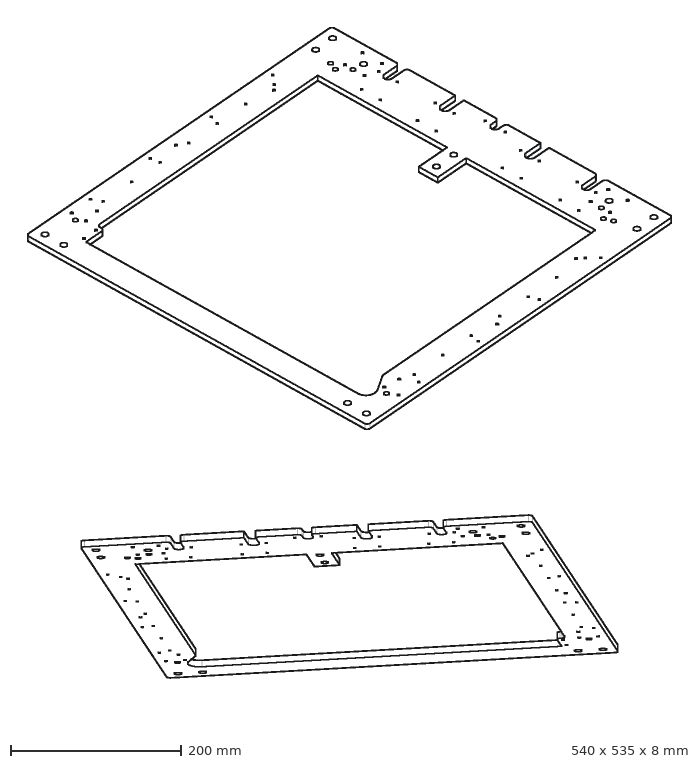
import cadquery as cq
import math

length_x = 540.0
length_y = 535.0
thickness = 8.0
corner_radius = 4.5

right = length_x / 2
top = length_y / 2
bottom = -top

side_rail = 50.0
top_rail = 80.0
bottom_rail = 37.0
window_right = right - side_rail
window_left = -window_right
window_top = top - top_rail
window_bottom = bottom + bottom_rail

tab_width = 30.0
tab_length = 49.5

foot_width = 11.0
foot_top = window_bottom + 32.0
foot_radius = 4.5

relief_radius = 14.0
relief_x = 221.5
relief_y = window_bottom + relief_radius
flank_angle = math.radians(30)

notch_lip_radius = 5.0
narrow_notch = 12.0
wide_notch = 13.5
deep_notch = 32.0
shallow_notch = 18.5
outer_notch_x = 157.0
inner_notch_x = 67.5

tap_diameter = 2.4
screw_diameter = 3.0
motor_screw_diameter = 3.2
pulley_diameter = 6.5
bolt_diameter = 8.5


def window():
    """Cutter for the frame opening, leaving the tab and the foot in place."""
    flank_x = relief_x + relief_radius * math.cos(flank_angle)
    flank_y = relief_y + relief_radius * math.sin(flank_angle)
    flank_top = flank_y + (flank_x - window_right) / math.tan(flank_angle)
    arc_middle_angle = (flank_angle - math.pi / 2) / 2
    foot_right = window_left + foot_width
    tab_bottom = window_top - tab_length
    opening = (
        cq.Workplane("XY")
        .moveTo(foot_right, window_bottom)
        .lineTo(relief_x, window_bottom)
        .threePointArc(
            (
                relief_x + relief_radius * math.cos(arc_middle_angle),
                relief_y + relief_radius * math.sin(arc_middle_angle),
            ),
            (flank_x, flank_y),
        )
        .lineTo(window_right, flank_top)
        .lineTo(window_right, window_top)
        .lineTo(tab_width / 2, window_top)
        .lineTo(tab_width / 2, tab_bottom)
        .lineTo(-tab_width / 2, tab_bottom)
        .lineTo(-tab_width / 2, window_top)
        .lineTo(window_left, window_top)
        .lineTo(window_left, foot_top + foot_radius)
        .radiusArc((window_left + foot_radius, foot_top), -foot_radius)
        .lineTo(foot_right - foot_radius, foot_top)
        .radiusArc((foot_right, foot_top - foot_radius), foot_radius)
        .close()
    )
    return opening.extrude(thickness)


def notch(x, width, depth, lip_radius=0.0):
    """Cutter for a round-ended notch in the top edge, with optional rounded lips."""
    half = width / 2
    arc_y = top - depth + half
    outline = cq.Workplane("XY").moveTo(x - half - lip_radius, top)
    if lip_radius:
        outline = outline.radiusArc((x - half, top - lip_radius), lip_radius)
    outline = outline.lineTo(x - half, arc_y)
    outline = outline.threePointArc((x, top - depth), (x + half, arc_y))
    outline = outline.lineTo(x + half, top - lip_radius)
    if lip_radius:
        outline = outline.radiusArc((x + half + lip_radius, top), lip_radius)
    return outline.close().extrude(thickness)


def holes(diameter, points):
    """Cutter for through holes of one diameter."""
    return cq.Workplane("XY").pushPoints(points).circle(diameter / 2).extrude(thickness)


def mirrored(points):
    """The points together with their mirror images across the YZ plane."""
    return points + [(-x, y) for x, y in points]


def pairs(centers, spacing, y):
    """Two points side by side around each centre."""
    return [(x + side * spacing / 2, y) for x in centers for side in (-1, 1)]


bolt_edge = 15.5
bolt_pitch = 29.5
bolt_x = right - bolt_edge
bolts = mirrored([
    (bolt_x, top - bolt_edge),
    (bolt_x, top - bolt_edge - bolt_pitch),
    (bolt_x, bottom + bolt_edge),
    (bolt_x - bolt_pitch, bottom + bolt_edge),
])

motor_x = 194.5
motor_y = 240.0
motor_pitch = 31.0
motor_centers = mirrored([(motor_x, motor_y)])
motor_screws = [
    (x + dx * motor_pitch / 2, motor_y + dy * motor_pitch / 2)
    for x, _ in motor_centers
    for dx in (-1, 1)
    for dy in (-1, 1)
]

pulleys = mirrored([(196.5, 223.5), (224.0, 215.0), (212.0, 210.0), (246.0, -208.0)])

tab_bolts = [(0, 182.5), (0, 152.5)]

pair_spacing = 29.5
upper_pair_y = 241.5
lower_pair_y = 202.5
crest_pair_y = 255.5
crest_pair_spacing = 32.0
notch_centers = [-outer_notch_x, -inner_notch_x, inner_notch_x, outer_notch_x]
lower_pair_centers = [-149.0, -60.5, 74.0, 165.0]
top_rail_screws = (
    pairs(notch_centers, pair_spacing, upper_pair_y)
    + pairs(lower_pair_centers, pair_spacing, lower_pair_y)
    + pairs([0], crest_pair_spacing, crest_pair_y)
)

guide_x = 246.0
guide_count = 7
guide_first = -159.5
guide_last = 140.5
guide_pitch = (guide_last - guide_first) / (guide_count - 1)
guide_screws = mirrored([(guide_x, guide_first + i * guide_pitch) for i in range(guide_count)])

edge_x = 260.0
edge_rows = (153.0, 45.5, -61.5, -166.5)
edge_screws = mirrored([(edge_x, y) for y in edge_rows])

rail_end_screws = mirrored([(239.0, 132.5), (239.0, -177.5), (254.5, -22.5), (258.5, -200.5), (236.0, -200.5)])

foot_screws = [(-215.5, -206.0), (-215.5, -227.0)]

plate = (
    cq.Workplane("XY")
    .rect(length_x, length_y)
    .extrude(thickness)
    .edges("|Z")
    .fillet(corner_radius)
)

result = plate.cut(window())
for side in (-1, 1):
    result = result.cut(notch(side * outer_notch_x, narrow_notch, deep_notch, notch_lip_radius))
    result = result.cut(notch(side * inner_notch_x, wide_notch, deep_notch))
result = result.cut(notch(0, narrow_notch, shallow_notch, notch_lip_radius))

for diameter, points in (
    (bolt_diameter, bolts + motor_centers + tab_bolts),
    (pulley_diameter, pulleys),
    (motor_screw_diameter, motor_screws),
    (screw_diameter, rail_end_screws + foot_screws),
    (tap_diameter, top_rail_screws + guide_screws + edge_screws),
):
    result = result.cut(holes(diameter, points))